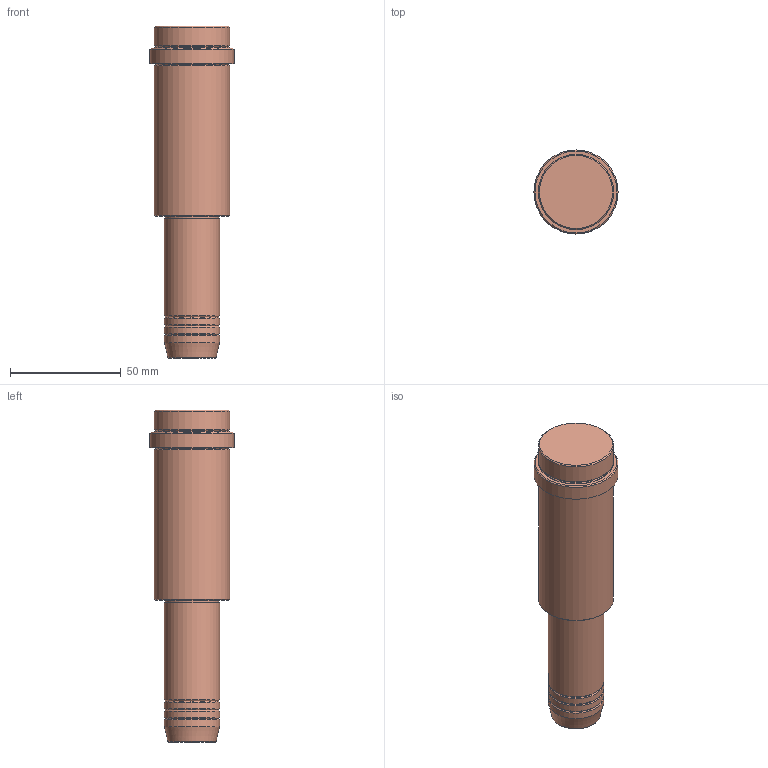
import cadquery as cq

total_length = 150.0
head_length = 10.0
flange_thickness = 7.0
body_length = 69.0

body_radius = 34.0 / 2
flange_radius = 38.0 / 2
pin_radius = 25.0 / 2

edge_chamfer = 0.5
tip_chamfer = 0.3

groove_width = 1.0
groove_depth = 0.4
groove_pitch = 4.0
ring_count = 3
lowest_ring_z = 10.0
head_groove_gap = 0.1

undercut_width = 1.0
undercut_depth = 0.4

lead_length = 7.0
lead_end_radius = 10.9
lead_hollow = 0.1

flange_top = total_length - head_length
flange_bottom = flange_top - flange_thickness
body_bottom = flange_bottom - body_length


def cylinder(radius, bottom, top):
    """Solid cylinder on the Z axis between two heights."""
    return cq.Workplane("XY").workplane(offset=bottom).circle(radius).extrude(top - bottom)


def revolve_about_z(profile):
    """Solid of revolution of a closed XZ profile."""
    return profile.revolve(360, (0, 0, 0), (0, 1, 0))


def v_groove(radius, bottom):
    """Triangular ring that cuts a V groove into a shaft of the given radius."""
    apex_radius = radius - groove_depth
    profile = (
        cq.Workplane("XZ")
        .moveTo(-radius, bottom)
        .lineTo(-apex_radius, bottom + groove_width / 2)
        .lineTo(-radius, bottom + groove_width)
        .close()
    )
    return revolve_about_z(profile)


def make_undercut():
    """Square ring that relieves the pin just below the body."""
    bottom = body_bottom - undercut_width
    core = cylinder(pin_radius - undercut_depth, bottom, body_bottom)
    return cylinder(pin_radius, bottom, body_bottom).cut(core)


def make_pin():
    """Pin with a tapered lead-in, ring grooves and an undercut below the body."""
    middle_radius = (pin_radius + lead_end_radius) / 2 - lead_hollow
    profile = (
        cq.Workplane("XZ")
        .lineTo(-lead_end_radius, 0)
        .threePointArc((-middle_radius, lead_length / 2), (-pin_radius, lead_length))
        .lineTo(-pin_radius, body_bottom)
        .lineTo(0, body_bottom)
        .close()
    )
    pin = revolve_about_z(profile).faces("<Z").edges().chamfer(tip_chamfer)
    for index in range(ring_count):
        pin = pin.cut(v_groove(pin_radius, lowest_ring_z + index * groove_pitch))
    return pin.cut(make_undercut())


def make_body():
    """Main cylinder and head, chamfered at both ends, with a V groove on each side of the flange."""
    body = cylinder(body_radius, body_bottom, total_length)
    body = body.faces("<Z or >Z").edges().chamfer(edge_chamfer)
    for groove_z in (flange_bottom - groove_width, flange_top + head_groove_gap):
        body = body.cut(v_groove(body_radius, groove_z))
    return body


def make_flange():
    """Collar with a chamfered upper edge."""
    return cylinder(flange_radius, flange_bottom, flange_top).faces(">Z").edges().chamfer(edge_chamfer)


result = make_pin().union(make_body()).union(make_flange())